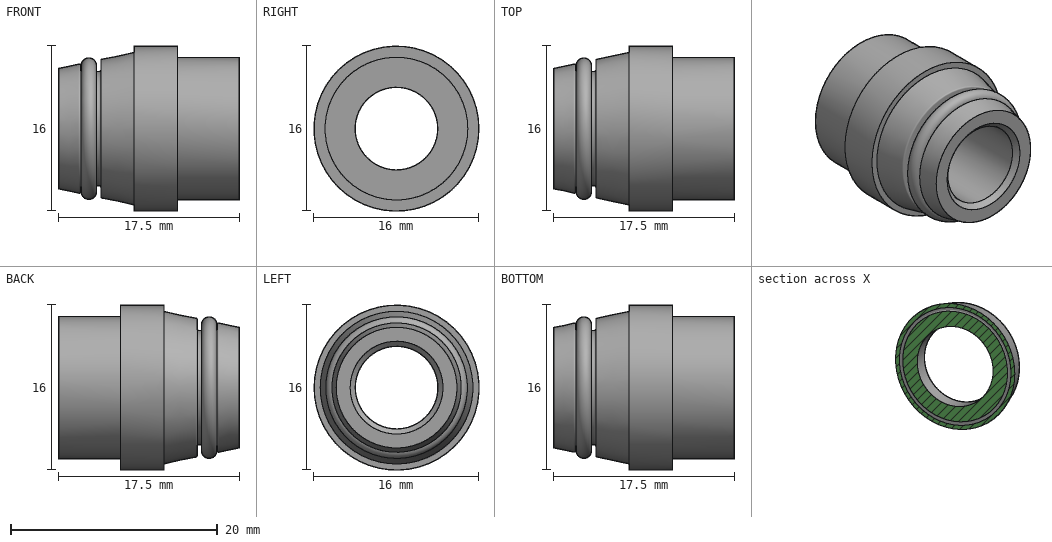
import cadquery as cq
import math

total_length = 17.5
groove_start = 2.15
groove_end = 4.08
collar_start = 7.3
collar_end = 11.52

nose_radius = 5.85
groove_floor_radius = 5.55
collar_radius = 8.0
tail_radius = 6.91
bore_radius = 3.99

cone_half_angle = 12.0
bore_chamfer = 0.5
groove_rim_fillet = 0.15
groove_floor_fillet = 0.12

ring_section_radius = 0.75
ring_outer_radius = 6.86
ring_position = 2.92


def cone_radius(x):
    """Radius of the tapered nose at distance x from its face."""
    return nose_radius + x * math.tan(math.radians(cone_half_angle))


def make_body():
    """Nose with ring in its groove, collar and tail, with a chamfered through bore."""
    ring_centre_radius = ring_outer_radius - ring_section_radius
    ring_centre_height = ring_centre_radius - groove_floor_radius
    ring_half_foot = math.sqrt(ring_section_radius**2 - ring_centre_height**2)
    profile = (
        cq.Workplane("XY")
        .moveTo(0, bore_radius + bore_chamfer)
        .lineTo(0, nose_radius)
        .lineTo(groove_start, cone_radius(groove_start))
        .lineTo(groove_start, groove_floor_radius)
        .lineTo(ring_position - ring_half_foot, groove_floor_radius)
        .threePointArc(
            (ring_position, ring_outer_radius),
            (ring_position + ring_half_foot, groove_floor_radius),
        )
        .lineTo(groove_end, groove_floor_radius)
        .lineTo(groove_end, cone_radius(groove_end))
        .lineTo(collar_start, cone_radius(collar_start))
        .lineTo(collar_start, collar_radius)
        .lineTo(collar_end, collar_radius)
        .lineTo(collar_end, tail_radius)
        .lineTo(total_length, tail_radius)
        .lineTo(total_length, bore_radius)
        .lineTo(bore_chamfer, bore_radius)
        .close()
    )
    return profile.revolve(360, (0, 0, 0), (1, 0, 0))


def round_groove_edges(body, x):
    """Round the floor corner and the outer rim of the groove wall at x."""
    reach = groove_rim_fillet / 2
    near_wall = cq.selectors.BoxSelector(
        (x - reach, -collar_radius, -collar_radius),
        (x + reach, collar_radius, collar_radius),
    )
    floor_corner = cq.selectors.RadiusNthSelector(0)
    outer_rim = cq.selectors.RadiusNthSelector(-1)
    body = body.edges("%CIRCLE").edges(near_wall).edges(floor_corner).fillet(groove_floor_fillet)
    return body.edges("%CIRCLE").edges(near_wall).edges(outer_rim).fillet(groove_rim_fillet)


result = make_body()
for wall_position in (groove_start, groove_end):
    result = round_groove_edges(result, wall_position)